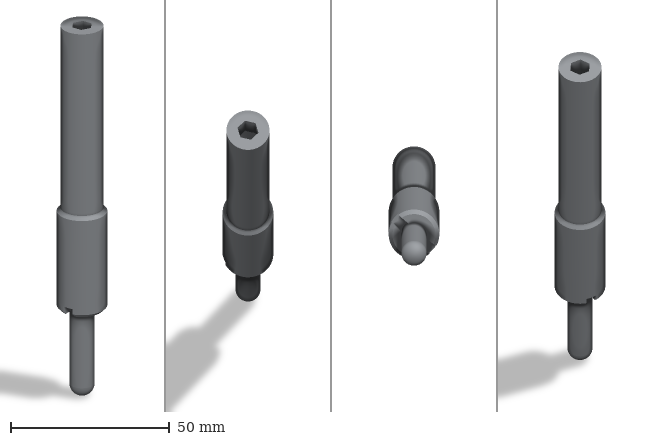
import cadquery as cq
import math

TOTAL_LENGTH = 128.0
PIN_PROJECTION = 30.0
COLLAR_LENGTH = 35.1

COLLAR_DIAMETER = 16.0
SHAFT_DIAMETER = 13.6
SLOT_WIDTH = 3.5
SLOT_DEPTH = 3.1

PIN_DIAMETER = 8.0
PIN_HEAD_DIAMETER = 9.3
HEX_ACROSS_FLATS = 5.9
HEX_DEPTH = 7.7
DRILL_POINT_ANGLE = 118.0

PIN_RADIUS = PIN_DIAMETER / 2
PIN_HEAD_RADIUS = PIN_HEAD_DIAMETER / 2
COLLAR_RADIUS = COLLAR_DIAMETER / 2
SHAFT_RADIUS = SHAFT_DIAMETER / 2
COLLAR_CHAMFER = COLLAR_RADIUS - SHAFT_RADIUS
COLLAR_TOP = PIN_PROJECTION + COLLAR_LENGTH
HEX_CORNER_RADIUS = HEX_ACROSS_FLATS / 2 / math.cos(math.radians(30))
DRILL_POINT_DEPTH = HEX_CORNER_RADIUS / math.tan(math.radians(DRILL_POINT_ANGLE / 2))


def make_sleeve():
    """Shaft with a chamfered collar, a stepped bore and a slot across the lower end."""
    profile = [
        (PIN_RADIUS, PIN_PROJECTION),
        (SHAFT_RADIUS, PIN_PROJECTION),
        (COLLAR_RADIUS, PIN_PROJECTION + COLLAR_CHAMFER),
        (COLLAR_RADIUS, COLLAR_TOP - COLLAR_CHAMFER),
        (SHAFT_RADIUS, COLLAR_TOP),
        (SHAFT_RADIUS, TOTAL_LENGTH),
        (PIN_HEAD_RADIUS, TOTAL_LENGTH),
        (PIN_HEAD_RADIUS, COLLAR_TOP),
        (PIN_RADIUS, COLLAR_TOP),
    ]
    sleeve = cq.Workplane("XZ").polyline(profile).close().revolve(360, (0, 0), (0, 1))
    slot = (
        cq.Workplane("XY", origin=(0, 0, PIN_PROJECTION))
        .rect(SLOT_WIDTH, COLLAR_DIAMETER)
        .extrude(SLOT_DEPTH)
    )
    return sleeve.cut(slot)


def make_hex_socket():
    """Hexagonal socket, flats facing +Y and -Y, ending in a conical drill point."""
    hexagon = (
        cq.Workplane("XY", origin=(0, 0, TOTAL_LENGTH))
        .polygon(6, 2 * HEX_CORNER_RADIUS)
        .extrude(-HEX_DEPTH - DRILL_POINT_DEPTH)
    )
    cone_base = TOTAL_LENGTH - HEX_DEPTH
    drilled_hole = (
        cq.Workplane("XZ")
        .moveTo(0, cone_base - DRILL_POINT_DEPTH)
        .lineTo(HEX_CORNER_RADIUS, cone_base)
        .lineTo(HEX_CORNER_RADIUS, TOTAL_LENGTH)
        .lineTo(0, TOTAL_LENGTH)
        .close()
        .revolve(360, (0, 0), (0, 1))
    )
    return hexagon.intersect(drilled_hole)


def make_pin():
    """Stepped pin with a hemispherical tip below and a hex socket in its upper end."""
    dome_middle = (PIN_RADIUS * math.sin(math.radians(45)),
                   PIN_RADIUS * (1 - math.cos(math.radians(45))))
    pin = (
        cq.Workplane("XZ")
        .moveTo(0, 0)
        .threePointArc(dome_middle, (PIN_RADIUS, PIN_RADIUS))
        .lineTo(PIN_RADIUS, COLLAR_TOP)
        .lineTo(PIN_HEAD_RADIUS, COLLAR_TOP)
        .lineTo(PIN_HEAD_RADIUS, TOTAL_LENGTH)
        .lineTo(0, TOTAL_LENGTH)
        .close()
        .revolve(360, (0, 0), (0, 1))
    )
    return pin.cut(make_hex_socket())


sleeve = make_sleeve()
pin = make_pin()
result = cq.Compound.makeCompound([sleeve.val(), pin.val()])